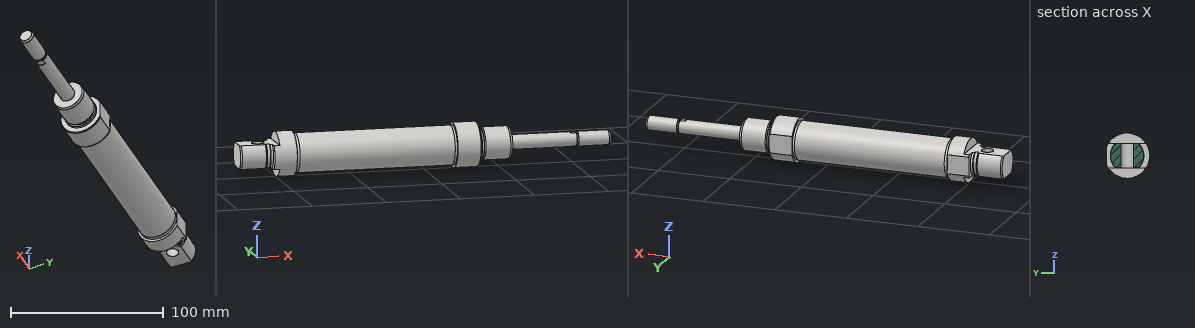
import cadquery as cq


shank_diameter = 22.0
shank_end = 18.2
shank_tip_bevel = (1.0, 0.6)
shank_root_bevel = (1.0, 0.6)
shank_groove_diameter = 19.5
shank_groove_end = 20.4
clevis_width = 16.0
clevis_length = 25.8
pivot_diameter = 8.0
pivot_x = 14.0
rear_flange_start = 22.0
rear_flange_end = 37.2

flange_diameter = 30.0
flange_flat_y = 13.5
neck_diameter = 26.5
rear_neck_end = 39.4

barrel_diameter = 26.5

front_neck_start = 144.0
front_flange_start = 145.5
front_flange_end = 161.5
front_flange_bevel = (0.5, 0.5)
nose_diameter = 22.0
nose_collar_length = 1.5
nose_groove_diameter = 19.5
nose_groove_length = 1.5
nose_root_bevel = (0.8, 0.4)
nose_length = 22.0
nose_tip_bevel = (1.5, 0.6)
nose_end = front_flange_end + nose_length

rod_diameter = 10.0
rod_end = 251.5
rod_thread_length = 22.0
rod_thread_start = rod_end - rod_thread_length
rod_tip_bevel = (1.5, 0.75)
rod_relief_diameter = 8.8
rod_relief_start = 228.4
wrench_flat_width = 9.0
wrench_flat_start = 224.5


def turned(profile):
    """Revolve (x, radius) points, closed along the axis, into a solid about X."""
    first_x = profile[0][0]
    last_x = profile[-1][0]
    outline = [(first_x, 0), *profile, (last_x, 0)]
    return cq.Workplane("XY").polyline(outline).close().revolve(360, (0, 0, 0), (1, 0, 0))


def slabs_beyond_flats(start, end, width, diameter):
    """Two slabs, above and below, whose removal leaves a pair of flats of the given width."""
    slab_height = (diameter - width) / 2
    slabs = cq.Workplane("XY")
    for side in (-1, 1):
        middle = ((start + end) / 2, 0, side * (width + slab_height) / 2)
        slabs = slabs.add(cq.Workplane("XY").box(end - start, diameter, slab_height).translate(middle))
    return slabs.combine()


def cut_flange_side(cover, start, end):
    """Cut the flat on the +Y side of a cover's flange."""
    depth = flange_diameter / 2 - flange_flat_y
    middle = ((start + end) / 2, flange_flat_y + depth / 2, 0)
    return cover.cut(cq.Workplane("XY").box(end - start, depth, flange_diameter).translate(middle))


def make_rear_cover():
    shank_radius = shank_diameter / 2
    groove_radius = shank_groove_diameter / 2
    flange_radius = flange_diameter / 2
    neck_radius = neck_diameter / 2
    tip_length, tip_drop = shank_tip_bevel
    root_length, root_drop = shank_root_bevel
    cover = turned([
        (0, shank_radius - tip_drop),
        (tip_length, shank_radius),
        (shank_end - root_length, shank_radius),
        (shank_end, shank_radius - root_drop),
        (shank_end, groove_radius),
        (shank_groove_end, groove_radius),
        (shank_groove_end, shank_radius),
        (rear_flange_start, shank_radius),
        (rear_flange_start, flange_radius),
        (rear_flange_end, flange_radius),
        (rear_flange_end, neck_radius),
        (rear_neck_end, neck_radius),
    ])
    cover = cut_flange_side(cover, rear_flange_start, rear_flange_end)
    cover = cover.cut(slabs_beyond_flats(0, clevis_length, clevis_width, flange_diameter))
    pivot = cq.Workplane("XY").center(pivot_x, 0).circle(pivot_diameter / 2).extrude(clevis_width, both=True)
    return cover.cut(pivot)


def make_barrel():
    barrel_radius = barrel_diameter / 2
    return turned([(rear_neck_end, barrel_radius), (front_neck_start, barrel_radius)])


def make_front_cover():
    neck_radius = neck_diameter / 2
    flange_radius = flange_diameter / 2
    nose_radius = nose_diameter / 2
    groove_radius = nose_groove_diameter / 2
    groove_start = front_flange_end + nose_collar_length
    groove_end = groove_start + nose_groove_length
    flange_bevel_length, flange_bevel_drop = front_flange_bevel
    root_length, root_drop = nose_root_bevel
    tip_length, tip_drop = nose_tip_bevel
    cover = turned([
        (front_neck_start, neck_radius),
        (front_flange_start, neck_radius),
        (front_flange_start, flange_radius),
        (front_flange_end - flange_bevel_length, flange_radius),
        (front_flange_end, flange_radius - flange_bevel_drop),
        (front_flange_end, nose_radius),
        (groove_start, nose_radius),
        (groove_start, groove_radius),
        (groove_end, groove_radius),
        (groove_end, nose_radius - root_drop),
        (groove_end + root_length, nose_radius),
        (nose_end - tip_length, nose_radius),
        (nose_end, nose_radius - tip_drop),
    ])
    return cut_flange_side(cover, front_flange_start, front_flange_end)


def make_piston_rod():
    rod_radius = rod_diameter / 2
    relief_radius = rod_relief_diameter / 2
    tip_length, tip_drop = rod_tip_bevel
    rod = turned([
        (nose_end, rod_radius),
        (rod_relief_start, rod_radius),
        (rod_relief_start, relief_radius),
        (rod_thread_start, relief_radius),
        (rod_thread_start, rod_radius),
        (rod_end - tip_length, rod_radius),
        (rod_end, rod_radius - tip_drop),
    ])
    return rod.cut(slabs_beyond_flats(wrench_flat_start, rod_thread_start, wrench_flat_width, rod_diameter))


rear_cover = make_rear_cover()
barrel = make_barrel()
front_cover = make_front_cover()
piston_rod = make_piston_rod()

result = cq.Compound.makeCompound([rear_cover.val(), barrel.val(), front_cover.val(), piston_rod.val()])